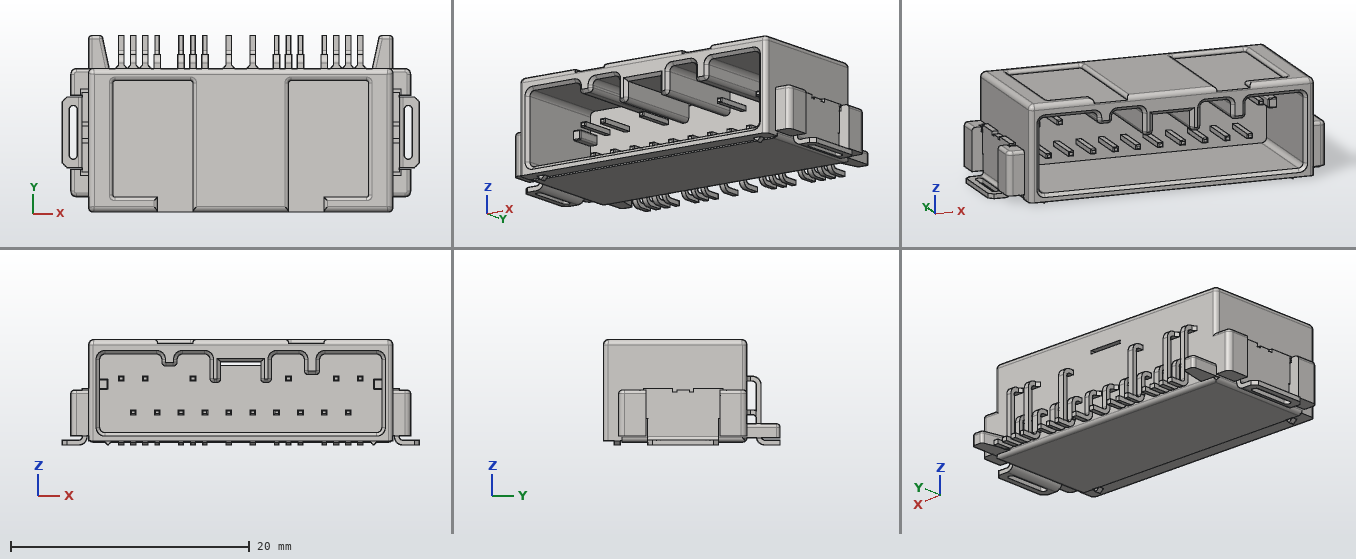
import cadquery as cq
LENGTH = 29.9
DEPTH = 14.8
HEIGHT = 8.85
PITCH = 1.0

BODY_HALF = 12.75
BODY_DEPTH = 12.02
COLLAR_DEPTH = 1.55
COLLAR_BOTTOM = 0.35
REAR_BOTTOM = 0.25
BOTTOM_ROUND = 0.4
SIDE_ROUND = 0.4
TOP_ROUND = 0.48

CAVITY_HALF = 11.8
CAVITY_FLOOR = 1.05
CAVITY_CEILING = 7.62
CAVITY_DEPTH = 8.97
CENTRE_CEILING = 6.97
MOUTH_CHAMFER = 0.3
CAVITY_ROUND = 0.45
KEY_ROUND = 0.35
CENTRE_KEY = (1.67, 2.57)
CENTRE_KEY_BOTTOM = 5.23
OUTER_KEY = (5.32, 6.6)
LEFT_KEY_BOTTOM = 6.6
RIGHT_KEY_BOTTOM = 5.9
WINDOW_HEIGHT = 0.3
RIB_WIDTH = 0.72
RIB_BOTTOM = 4.65
RIB_HEIGHT = 0.87
RIB_LENGTH = 2.4
RIB_ROUND = 0.15
RIB_TIP_CHAMFER = 0.1

RECESS_INNER = 4.0
RECESS_STEP = 6.97
RECESS_OUTER = 10.7
RECESS_FRONT = 1.25
RECESS_BACK = 11.0
RECESS_DROP = 0.35
RECESS_CORNER = 0.18
RIM_ROUND = 0.3
RIM_OVERHANG = 1.5

BLOCK_HALF = 14.23
BLOCK_BOTTOM = 0.78
BLOCK_TOP = 4.6
FRONT_BLOCK = (1.3, 3.6)
REAR_BLOCK = (9.78, 12.02)
BLOCK_SIDE_ROUND = 0.48
BLOCK_TOP_ROUND = 0.3

CLIP_THICK = 0.42
CLIP_FACE = 13.28
CLIP_TOP = 4.75
CLIP_CENTRE_Y = (FRONT_BLOCK[1] + REAR_BLOCK[0]) / 2
CLIP_WIDTH = 5.95
CLIP_SHOULDER_Z = 2.25
CLIP_SHOULDER_WIDTH = REAR_BLOCK[0] - FRONT_BLOCK[1]
CLIP_EAR_WIDTH = 6.65
CLIP_BEND = 0.3
CLIP_CORNER = 0.42
NOTCH_WIDTH = 1.75
NOTCH_DROP = 0.15
NOTCH_RELIEF = 0.35
POCKET_WIDTH = 7.25
POCKET_DEPTH = 0.45
POCKET_GAP = 0.12
SLOT_CENTRE_X = 14.02
SLOT_LENGTH = 4.48
SLOT_WIDTH = 0.65

POST_TIP_INNER = 11.6
POST_BASE_INNER = 11.0
POST_BOTTOM = 0.6
POST_TOP = 1.8
POST_ROUND = 0.3
PEG_X = 11.12
PEG_HALF = 0.4
PEG_Y = (0.9, 1.45)

UPPER_Z = 5.55
LOWER_Z = 2.75
UPPER_ROW = (4, 8, 10)
LOWER_ROW = (1, 3, 5, 7, 9)
SHOULDERED = (3, 4, 5, 7)
PIN_THICK = 0.42
PIN_WIDTH = 0.48
SHOULDER_WIDTH = 0.57
SHOULDER_FOOT_WIDTH = 0.4
PIN_TIP_Y = 5.38
PIN_TIP_CHAMFER = 0.1
PIN_OUTER_Y = 13.22
PIN_BEND = 0.33
FLARE_LENGTH = 0.3
FLARE_WIDTH = 1.02


def box(x, y, z):
    """Box between the (low, high) limits given for each axis."""
    size = (x[1] - x[0], y[1] - y[0], z[1] - z[0])
    return cq.Workplane("XY").box(*size, centered=False).translate((x[0], y[0], z[0]))


def both_sides(solid):
    """The solid together with its mirror image in X."""
    return solid.union(solid.mirror("YZ"))


def make_shell():
    body_x = (-BODY_HALF, BODY_HALF)
    collar = box(body_x, (0, COLLAR_DEPTH), (COLLAR_BOTTOM, HEIGHT))
    rear = box(body_x, (COLLAR_DEPTH, BODY_DEPTH), (REAR_BOTTOM, HEIGHT))
    rear = rear.edges("<Z and (not <Y)").fillet(BOTTOM_ROUND)
    envelope = box(body_x, (0, BODY_DEPTH), (0, HEIGHT))
    envelope = envelope.edges("|Z").fillet(SIDE_ROUND).faces(">Z").edges().fillet(TOP_ROUND)
    return collar.union(rear).intersect(envelope)


def make_top_recess():
    """Tool for the recesses: a flat slab less a cover plate with two round-rimmed openings."""
    points = [
        (RECESS_OUTER, RECESS_BACK),
        (RECESS_INNER, RECESS_BACK),
        (RECESS_INNER, -2 * RIM_OVERHANG),
        (RECESS_STEP, -2 * RIM_OVERHANG),
        (RECESS_STEP, RECESS_FRONT),
        (RECESS_OUTER, RECESS_FRONT),
    ]
    opening = cq.Workplane("XY", origin=(0, 0, HEIGHT)).polyline(points).close().extrude(-RECESS_DROP)
    opening = opening.edges("|Z and (>X or >Y)").fillet(RECESS_CORNER)
    slab = box((-BODY_HALF, BODY_HALF), (-RIM_OVERHANG, BODY_DEPTH), (HEIGHT - RECESS_DROP, HEIGHT))
    cover = slab.cut(both_sides(opening))
    rim = cq.selectors.BoxSelector(
        (-RECESS_OUTER - RIM_ROUND, -RIM_OVERHANG + RIM_ROUND, HEIGHT - RIM_ROUND / 2),
        (RECESS_OUTER + RIM_ROUND, RECESS_BACK + RIM_ROUND, HEIGHT + RIM_ROUND / 2),
    )
    return slab.cut(cover.edges(rim).fillet(RIM_ROUND))


def key_points(side, limits, root, bottom, inner_root):
    """Outline of one key hanging from the ceiling, listed from the outside inwards."""
    inner, outer = limits
    return [
        (side * outer, root),
        (side * outer, bottom),
        (side * inner, bottom),
        (side * inner, inner_root),
    ]


def make_cavity():
    ceiling = CAVITY_CEILING
    right = key_points(1, OUTER_KEY, ceiling, RIGHT_KEY_BOTTOM, ceiling)
    right += key_points(1, CENTRE_KEY, ceiling, CENTRE_KEY_BOTTOM, CENTRE_CEILING)
    left = key_points(-1, OUTER_KEY, ceiling, LEFT_KEY_BOTTOM, ceiling)
    left += key_points(-1, CENTRE_KEY, ceiling, CENTRE_KEY_BOTTOM, CENTRE_CEILING)
    points = [(-CAVITY_HALF, CAVITY_FLOOR), (CAVITY_HALF, CAVITY_FLOOR), (CAVITY_HALF, ceiling)]
    points += right + left[::-1] + [(-CAVITY_HALF, ceiling)]

    cavity = cq.Workplane("XZ").polyline(points).close().extrude(-CAVITY_DEPTH)
    lowest = min(CENTRE_KEY_BOTTOM, RIGHT_KEY_BOTTOM)
    highest = max(RIGHT_KEY_BOTTOM, LEFT_KEY_BOTTOM)
    key_bottoms = cavity.edges("|Y").filter(lambda edge: lowest <= edge.Center().z <= highest)
    cavity = key_bottoms.fillet(KEY_ROUND)
    return cavity.edges("|Y and (<Z or >Z)").fillet(CAVITY_ROUND)


def chamfer_mouth(housing):
    """Bevel the rim of the cavity, which is the inner wire of the mating face."""
    rim = cq.Workplane(obj=housing.faces("<Y").val().innerWires()[0]).edges().vals()
    return housing.newObject(rim).chamfer(MOUTH_CHAMFER)


def make_window():
    width = (-CENTRE_KEY[0], CENTRE_KEY[0])
    height = (CENTRE_CEILING - WINDOW_HEIGHT, CENTRE_CEILING)
    return box(width, (CAVITY_DEPTH, BODY_DEPTH), height)


def make_wall_ribs():
    rib = box(
        (CAVITY_HALF - RIB_WIDTH, BODY_HALF - MOUTH_CHAMFER),
        (CAVITY_DEPTH - RIB_LENGTH, CAVITY_DEPTH),
        (RIB_BOTTOM, RIB_BOTTOM + RIB_HEIGHT),
    )
    rib = rib.edges("|Y and <X").fillet(RIB_ROUND)
    return both_sides(rib.faces("<Y").chamfer(RIB_TIP_CHAMFER))


def make_side_block(span_y, outer_corner):
    block = box((BODY_HALF - SIDE_ROUND, BLOCK_HALF), span_y, (BLOCK_BOTTOM, BLOCK_TOP))
    block = block.edges("|Z and >X").edges(outer_corner).fillet(BLOCK_SIDE_ROUND)
    return both_sides(block.faces(">Z").edges(f">X or {outer_corner}").fillet(BLOCK_TOP_ROUND))


def across(width):
    """Limits in Y of a clip feature of the given width."""
    return (CLIP_CENTRE_Y - width / 2, CLIP_CENTRE_Y + width / 2)


def make_clips():
    tip = LENGTH / 2
    back = CLIP_FACE - CLIP_THICK
    outer_bend = CLIP_BEND + CLIP_THICK
    profile = (
        cq.Workplane("XZ", origin=(0, across(CLIP_WIDTH)[0], 0))
        .moveTo(tip, 0)
        .lineTo(back + outer_bend, 0)
        .radiusArc((back, outer_bend), outer_bend)
        .lineTo(back, CLIP_TOP)
        .lineTo(CLIP_FACE, CLIP_TOP)
        .lineTo(CLIP_FACE, outer_bend)
        .radiusArc((CLIP_FACE + CLIP_BEND, CLIP_THICK), -CLIP_BEND)
        .lineTo(tip, CLIP_THICK)
        .close()
    )
    clip = profile.extrude(-CLIP_WIDTH).edges("|Z and >X").chamfer(CLIP_CORNER)
    slot = cq.Workplane("XY", origin=(SLOT_CENTRE_X, CLIP_CENTRE_Y, 0))
    clip = clip.cut(slot.slot2D(SLOT_LENGTH, SLOT_WIDTH, 90).extrude(CLIP_THICK))

    plate_x = (BODY_HALF - SIDE_ROUND, CLIP_FACE)
    clip = clip.union(box(plate_x, across(CLIP_SHOULDER_WIDTH), (CLIP_SHOULDER_Z, CLIP_TOP)))
    clip = clip.union(box(plate_x, across(CLIP_EAR_WIDTH), (BLOCK_TOP, CLIP_TOP)))

    notch_x = (BODY_HALF, CLIP_FACE)
    notch_y = across(NOTCH_WIDTH)
    clip = clip.cut(box(notch_x, notch_y, (CLIP_TOP - NOTCH_DROP, CLIP_TOP)))
    for low, high in ((notch_y[0], notch_y[0] + NOTCH_RELIEF), (notch_y[1] - NOTCH_RELIEF, notch_y[1])):
        clip = clip.cut(box(notch_x, (low, high), (CLIP_TOP - 2 * NOTCH_DROP, CLIP_TOP)))
    return both_sides(clip)


def make_ear_pockets():
    depth = (BLOCK_TOP - POCKET_DEPTH, BLOCK_TOP)
    return both_sides(box((BODY_HALF, CLIP_FACE + POCKET_GAP), across(POCKET_WIDTH), depth))


def make_posts():
    root = BODY_DEPTH - BOTTOM_ROUND
    points = [(BODY_HALF, root), (BODY_HALF, DEPTH), (POST_TIP_INNER, DEPTH)]
    points += [(POST_BASE_INNER, BODY_DEPTH), (POST_BASE_INNER, root)]
    post = cq.Workplane("XY", origin=(0, 0, POST_BOTTOM)).polyline(points).close()
    post = post.extrude(POST_TOP - POST_BOTTOM)
    post = post.edges("|Z and >Y").fillet(POST_ROUND)
    return both_sides(post.faces(">Z").edges("not <Y").fillet(POST_ROUND))


def make_pegs():
    points = [(PEG_X - PEG_HALF, COLLAR_BOTTOM), (PEG_X, 0), (PEG_X + PEG_HALF, COLLAR_BOTTOM)]
    peg = cq.Workplane("XZ", origin=(0, PEG_Y[0], 0)).polyline(points).close()
    return both_sides(peg.extrude(PEG_Y[0] - PEG_Y[1]))


def contact_strip(row_z, width):
    """Straight pin, bend down behind the housing, bend out to a solder foot."""
    low, high = row_z - PIN_THICK / 2, row_z + PIN_THICK / 2
    inner_y = PIN_OUTER_Y - PIN_THICK
    outer_bend = PIN_BEND + PIN_THICK
    outline = (
        cq.Workplane("YZ")
        .moveTo(PIN_TIP_Y, high)
        .lineTo(PIN_OUTER_Y - outer_bend, high)
        .radiusArc((PIN_OUTER_Y, high - outer_bend), outer_bend)
        .lineTo(PIN_OUTER_Y, outer_bend)
        .radiusArc((PIN_OUTER_Y + PIN_BEND, PIN_THICK), -PIN_BEND)
        .lineTo(DEPTH, PIN_THICK)
        .lineTo(DEPTH, 0)
        .lineTo(inner_y + outer_bend, 0)
        .radiusArc((inner_y, outer_bend), outer_bend)
        .lineTo(inner_y, low - PIN_BEND)
        .radiusArc((inner_y - PIN_BEND, low), -PIN_BEND)
        .lineTo(PIN_TIP_Y, low)
        .close()
    )
    return outline.extrude(width / 2, both=True)


def make_contact(place, row_z):
    """One contact, either with a wide shoulder or with a flare where it leaves the housing."""
    if place in SHOULDERED or -place in SHOULDERED:
        half = SHOULDER_WIDTH / 2
        shoulder_y = (BODY_DEPTH - FLARE_LENGTH, PIN_OUTER_Y)
        pin_part = box((-half, half), (PIN_TIP_Y, BODY_DEPTH), (0, HEIGHT))
        shoulder_part = box((-half, half), shoulder_y, (PIN_BEND + PIN_THICK, HEIGHT))
        contact = contact_strip(row_z, PIN_WIDTH).intersect(pin_part)
        contact = contact.union(contact_strip(row_z, SHOULDER_WIDTH).intersect(shoulder_part))
        contact = contact.union(contact_strip(row_z, SHOULDER_FOOT_WIDTH))
    else:
        contact = contact_strip(row_z, PIN_WIDTH)
        flare = cq.Workplane("XZ", origin=(0, BODY_DEPTH, row_z)).rect(FLARE_WIDTH, PIN_THICK)
        flare = flare.workplane(offset=-FLARE_LENGTH).rect(PIN_WIDTH, PIN_THICK).loft(ruled=True)
        contact = contact.union(flare)
    contact = contact.faces("<Y").chamfer(PIN_TIP_CHAMFER)
    return contact.translate((place * PITCH, 0, 0))


housing = chamfer_mouth(make_shell().cut(make_top_recess()).cut(make_cavity()))
housing = housing.cut(make_window()).union(make_wall_ribs())
housing = housing.union(make_side_block(FRONT_BLOCK, "<Y"))
housing = housing.union(make_side_block(REAR_BLOCK, ">Y"))
housing = housing.cut(make_ear_pockets())

result = housing.union(make_clips()).union(make_posts()).union(make_pegs())
for row, row_z in ((UPPER_ROW, UPPER_Z), (LOWER_ROW, LOWER_Z)):
    for place in row:
        result = result.union(make_contact(place, row_z)).union(make_contact(-place, row_z))